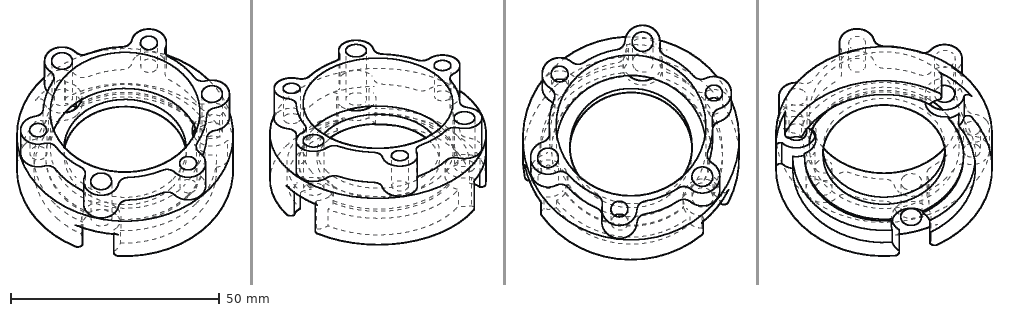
import cadquery as cq
import math

total_height = 23.05
flange_height = 14.0
slot_height = 8.6
bore_floor = slot_height
ring_underside = 5.65
skirt_recess_height = 5.0

flange_diameter = 52
collar_diameter = 39.3
bore_diameter = 36.0
ring_opening_diameter = 29.4
step_diameter = 38.25
skirt_bore_diameter = 43.9

lobe_count = 6
lobe_circle_radius = 21.6
lobe_radius = 4.2
lobe_fillet = 2.35
through_hole_diameter = 5.0
blind_hole_diameter = 4.05
blind_hole_depth = total_height - flange_height
through_hole_angles = (60, 180, 300)
blind_hole_angles = (0, 120, 240)

slot_half_width = 3.85
slot_mouth_fillet = 1.25

pocket_radius = 4.75
pocket_ceiling = bore_floor


def cylinder(diameter, bottom, top):
    """Solid cylinder on the main axis between two heights."""
    return cq.Workplane("XY").workplane(offset=bottom).circle(diameter / 2).extrude(top - bottom)


def turned(body, angle):
    """Body rotated about the main axis."""
    return body.rotate((0, 0, 0), (0, 0, 1), angle)


def lobed_collar():
    """Collar with screw lobes blended into its round wall."""
    height = total_height - flange_height
    collar = cylinder(collar_diameter, flange_height, total_height)
    plane = cq.Workplane("XY").workplane(offset=flange_height)
    arm = plane.rect(lobe_circle_radius, 2 * lobe_radius, centered=(False, True)).extrude(height)
    tip = plane.center(lobe_circle_radius, 0).circle(lobe_radius).extrude(height)
    lobe = arm.union(tip)
    for index in range(lobe_count):
        collar = collar.union(turned(lobe, index * 360 / lobe_count))

    corner_x = math.sqrt((collar_diameter / 2) ** 2 - lobe_radius**2)
    tolerance = 0.05
    for index in range(lobe_count):
        for side in (-1, 1):
            angle = math.radians(index * 360 / lobe_count)
            x = corner_x * math.cos(angle) - side * lobe_radius * math.sin(angle)
            y = corner_x * math.sin(angle) + side * lobe_radius * math.cos(angle)
            corner = cq.selectors.BoxSelector(
                (x - tolerance, y - tolerance, flange_height),
                (x + tolerance, y + tolerance, total_height),
            )
            collar = collar.edges("|Z").edges(corner).fillet(lobe_fillet)
    return collar


def slot_cutter():
    """Radial slot along +X, starting at the hole axis, whose mouth flares into the flange wall."""
    flange_radius = flange_diameter / 2
    fillet_y = slot_half_width + slot_mouth_fillet
    fillet_x = math.sqrt((flange_radius - slot_mouth_fillet) ** 2 - fillet_y**2)
    mouth_scale = flange_radius / (flange_radius - slot_mouth_fillet)
    mouth_x = fillet_x * mouth_scale
    mouth_y = fillet_y * mouth_scale
    middle_angle = (math.atan2(fillet_y, fillet_x) - math.pi / 2) / 2
    middle_x = fillet_x + slot_mouth_fillet * math.cos(middle_angle)
    middle_y = fillet_y + slot_mouth_fillet * math.sin(middle_angle)
    outside_x = flange_radius + slot_mouth_fillet
    return (
        cq.Workplane("XY")
        .moveTo(lobe_circle_radius, slot_half_width)
        .lineTo(fillet_x, slot_half_width)
        .threePointArc((middle_x, middle_y), (mouth_x, mouth_y))
        .lineTo(outside_x, mouth_y)
        .lineTo(outside_x, -mouth_y)
        .lineTo(mouth_x, -mouth_y)
        .threePointArc((middle_x, -middle_y), (fillet_x, -slot_half_width))
        .lineTo(lobe_circle_radius, -slot_half_width)
        .close()
        .extrude(slot_height)
    )


def lobe_cylinder(diameter, bottom, top):
    """Cylinder on the axis of the lobe on +X, between two heights."""
    return cylinder(diameter, bottom, top).translate((lobe_circle_radius, 0, 0))


result = cylinder(flange_diameter, 0, flange_height).union(lobed_collar())

result = result.cut(cylinder(bore_diameter, bore_floor, total_height))
result = result.cut(cylinder(ring_opening_diameter, 0, total_height))
result = result.cut(cylinder(step_diameter, 0, ring_underside))
result = result.cut(cylinder(skirt_bore_diameter, 0, skirt_recess_height))

for angle in through_hole_angles:
    result = result.cut(turned(lobe_cylinder(through_hole_diameter, 0, total_height), angle))
    result = result.cut(turned(lobe_cylinder(2 * pocket_radius, 0, pocket_ceiling), angle))
    result = result.cut(turned(slot_cutter(), angle))

for angle in blind_hole_angles:
    hole = lobe_cylinder(blind_hole_diameter, total_height - blind_hole_depth, total_height)
    result = result.cut(turned(hole, angle))